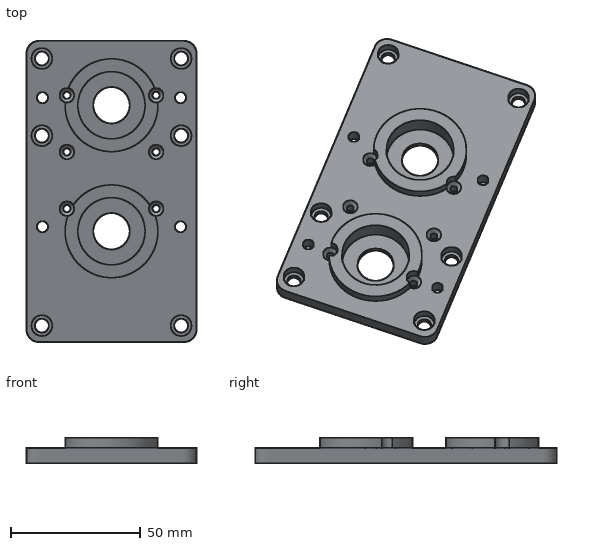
import cadquery as cq

plate_width = 66.0
plate_length = 116.8
total_height = 10.0
boss_height = 4.0
plate_thickness = total_height - boss_height
corner_radius = 5.0

boss_diameter = 36.0
seat_diameter = 26.0
shaft_hole_diameter = 14.0
seat_floor_thickness = 2.0
upper_boss_y = 33.4
boss_spacing = 48.8
boss_ys = [upper_boss_y, upper_boss_y - boss_spacing]

mount_hole_diameter = 5.3
mount_counterbore_diameter = 8.0
mount_counterbore_depth = 4.0
mount_x = 27.0
top_mount_edge_distance = 6.9
bottom_mount_edge_distance = 6.4
top_mount_y = plate_length / 2 - top_mount_edge_distance
middle_mount_y = 21.6
bottom_mount_y = bottom_mount_edge_distance - plate_length / 2
mount_ys = [top_mount_y, middle_mount_y, bottom_mount_y]

dowel_diameter = 4.2
dowel_x = 26.7
dowel_ys = [36.3, -13.7]

screw_hole_diameter = 2.7
screw_head_diameter = 5.6
countersink_angle = 90
screw_x = 17.3
screw_row_pitch = 22.0
top_screw_y = 37.2
screw_ys = [top_screw_y - row * screw_row_pitch for row in range(3)]


def mirrored_pairs(x, ys):
    """Points at +x and -x for every y."""
    return [(side * x, y) for y in ys for side in (-1, 1)]


def cylinders(points, diameter, bottom, top):
    """Upright cylinders centred on the points, between two heights."""
    return (
        cq.Workplane("XY", origin=(0, 0, bottom))
        .pushPoints(points)
        .circle(diameter / 2)
        .extrude(top - bottom)
    )


def plate_top(body):
    """Workplane on the plate's upper face, centred on the plate."""
    return body.copyWorkplane(cq.Workplane("XY", origin=(0, 0, plate_thickness)))


boss_points = [(0, y) for y in boss_ys]
screw_points = mirrored_pairs(screw_x, screw_ys)

plate = (
    cq.Workplane("XY")
    .rect(plate_width, plate_length)
    .extrude(plate_thickness)
    .edges("|Z")
    .fillet(corner_radius)
)

bosses = cylinders(boss_points, boss_diameter, plate_thickness, total_height)
head_clearances = cylinders(screw_points, screw_head_diameter, plate_thickness, total_height)
result = plate.union(bosses).cut(head_clearances)

result = result.cut(cylinders(boss_points, seat_diameter, seat_floor_thickness, total_height))
result = result.cut(cylinders(boss_points, shaft_hole_diameter, 0, total_height))

result = (
    plate_top(result)
    .pushPoints(mirrored_pairs(mount_x, mount_ys))
    .cboreHole(mount_hole_diameter, mount_counterbore_diameter, mount_counterbore_depth)
)
result = plate_top(result).pushPoints(mirrored_pairs(dowel_x, dowel_ys)).hole(dowel_diameter)
result = (
    plate_top(result)
    .pushPoints(screw_points)
    .cskHole(screw_hole_diameter, screw_head_diameter, countersink_angle)
)